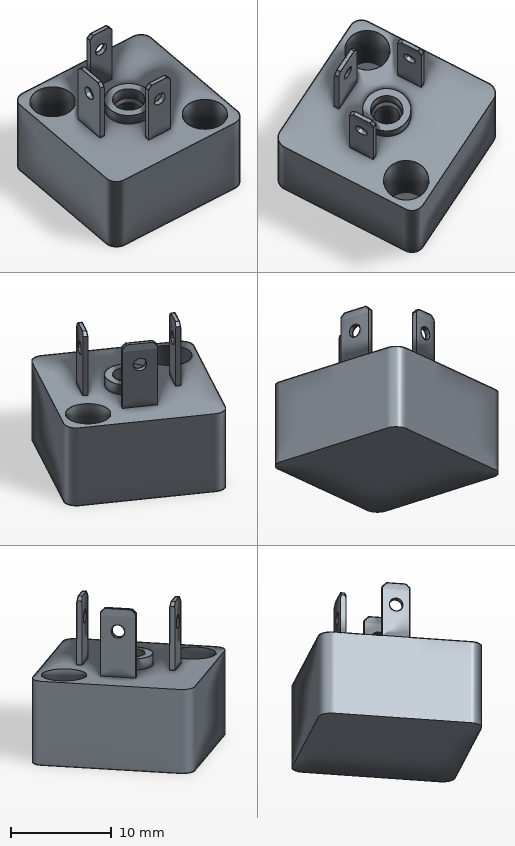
import cadquery as cq
import math

side = 16.43
overall_height = 15.58
body_height = 8.63
corner_radius = 1.28

pocket_diameter = 4.47
pocket_offset = 5.37
pocket_depth = 6.57

boss_diameter = 4.8
boss_height = 1.13
counterbore_diameter = 3.19
counterbore_depth = 1.2
seat_diameter = 3.09
drill_diameter = 2.5
drill_depth = 5.91
drill_point_angle = 118.0

blade_offset = 4.72
front_blade_width = 3.55
side_blade_width = 2.75
blade_thickness = 0.55
tip_thickness = 0.41
taper_height = 0.74
corner_clip = 0.41
eye_diameter = 1.35
eye_below_tip = 2.28

blade_height = overall_height - body_height
boss_top = body_height + boss_height


def make_body():
    block = cq.Workplane("XY").rect(side, side).extrude(body_height)
    block = block.edges("|Z").fillet(corner_radius)
    boss = cq.Workplane("XY").circle(boss_diameter / 2).extrude(boss_top)
    return block.union(boss)


def make_pockets():
    return (
        cq.Workplane("XY", origin=(0, 0, body_height - pocket_depth))
        .pushPoints([(-pocket_offset, -pocket_offset), (pocket_offset, pocket_offset)])
        .circle(pocket_diameter / 2)
        .extrude(pocket_depth)
    )


def make_center_hole():
    """Revolved counterbore, 45 degree seat and drill with a conical point."""
    seat_z = boss_top - counterbore_depth
    drill_top = seat_z - (seat_diameter - drill_diameter) / 2
    drill_bottom = boss_top - drill_depth
    point_length = drill_diameter / 2 / math.tan(math.radians(drill_point_angle / 2))
    return (
        cq.Workplane("XZ")
        .moveTo(0, boss_top)
        .lineTo(counterbore_diameter / 2, boss_top)
        .lineTo(counterbore_diameter / 2, seat_z)
        .lineTo(seat_diameter / 2, seat_z)
        .lineTo(drill_diameter / 2, drill_top)
        .lineTo(drill_diameter / 2, drill_bottom)
        .lineTo(0, drill_bottom - point_length)
        .close()
        .revolve(360, (0, 0, 0), (0, 1, 0))
    )


def make_blade(width):
    """Blade centred on the Z axis, wide along X, with clipped corners and a thinned tip."""
    face = (
        cq.Workplane("XY")
        .box(width, blade_thickness, blade_height, centered=(True, True, False))
        .edges("|Y and >Z")
        .chamfer(corner_clip)
    )
    half_thickness = blade_thickness / 2
    half_tip = tip_thickness / 2
    taper_start = blade_height - taper_height
    profile = (
        cq.Workplane("YZ")
        .polyline([
            (-half_thickness, 0),
            (half_thickness, 0),
            (half_thickness, taper_start),
            (half_tip, blade_height),
            (-half_tip, blade_height),
            (-half_thickness, taper_start),
        ])
        .close()
        .extrude(width / 2, both=True)
    )
    eye = (
        cq.Workplane("XZ")
        .center(0, blade_height - eye_below_tip)
        .circle(eye_diameter / 2)
        .extrude(blade_thickness, both=True)
    )
    return face.intersect(profile).cut(eye)


result = make_body().cut(make_pockets()).cut(make_center_hole())
result = result.union(make_blade(front_blade_width).translate((0, -blade_offset, body_height)))

side_blade = make_blade(side_blade_width).rotate((0, 0, 0), (0, 0, 1), 90)
for x in (-blade_offset, blade_offset):
    result = result.union(side_blade.translate((x, 0, body_height)))